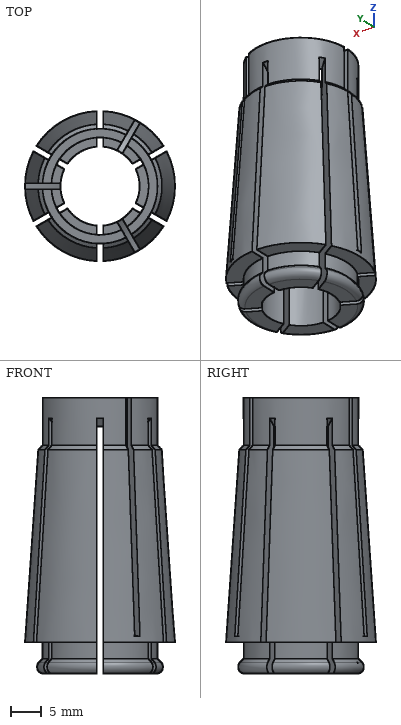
import cadquery as cq
import math

TOTAL_HEIGHT = 45.1
CONE_BASE_Z = 5.1
SHOULDER_Z = 37.3
BORE_STEP_Z = 35.6

BORE_RADIUS = 6.45
COUNTERBORE_RADIUS = 7.95
NECK_RADIUS = 9.4
CONE_BASE_RADIUS = 12.28
CONE_TOP_RADIUS = 10.12
CONE_TOP_Z = SHOULDER_Z - (CONE_TOP_RADIUS - NECK_RADIUS)

BEAD_RADIUS = 10.3
BEAD_ROUND = 1.1
BEAD_CENTER_RADIUS = BEAD_RADIUS - BEAD_ROUND

SLOT_WIDTH = 1.0
CUTTER_RADIUS = 9.65
OVERSHOOT = 0.5
SLOT_INNER_RADIUS = BORE_RADIUS - OVERSHOOT
SLOT_OUTER_RADIUS = CONE_BASE_RADIUS + OVERSHOOT

LOWER_SLOT_COUNT = 6
LOWER_SLOT_START_ANGLE = 30.0
LOWER_SLOT_END_Z = 41.7
LOWER_CUTTER_CENTER = 15.2

UPPER_SLOT_COUNT = 3
UPPER_SLOT_START_ANGLE = 60.0
UPPER_SLOT_END_Z = 6.1
UPPER_CUTTER_CENTER = CONE_BASE_RADIUS


def make_body():
    """Revolve the wall section: bead, neck, cone, shoulder, neck and stepped bore."""
    diagonal = BEAD_ROUND * math.sqrt(0.5)
    bead_top_radius = BEAD_CENTER_RADIUS + diagonal
    bead_top_z = BEAD_ROUND + diagonal
    bead_foot_z = bead_top_z + bead_top_radius - NECK_RADIUS
    mid_angle = math.radians(-22.5)
    bead_mid = (
        BEAD_CENTER_RADIUS + BEAD_ROUND * math.cos(mid_angle),
        BEAD_ROUND + BEAD_ROUND * math.sin(mid_angle),
    )
    section = (
        cq.Workplane("XZ")
        .moveTo(BORE_RADIUS, 0)
        .lineTo(BEAD_CENTER_RADIUS, 0)
        .threePointArc(bead_mid, (bead_top_radius, bead_top_z))
        .lineTo(NECK_RADIUS, bead_foot_z)
        .lineTo(NECK_RADIUS, CONE_BASE_Z)
        .lineTo(CONE_BASE_RADIUS, CONE_BASE_Z)
        .lineTo(CONE_TOP_RADIUS, CONE_TOP_Z)
        .lineTo(NECK_RADIUS, SHOULDER_Z)
        .lineTo(NECK_RADIUS, TOTAL_HEIGHT)
        .lineTo(COUNTERBORE_RADIUS, TOTAL_HEIGHT)
        .lineTo(COUNTERBORE_RADIUS, BORE_STEP_Z)
        .lineTo(BORE_RADIUS, BORE_STEP_Z)
        .close()
    )
    return section.revolve(360, (0, 0, 0), (0, 1, 0))


def make_slot(open_z, end_z, end_radius, cutter_center):
    """Radial slot along +X, open at open_z, whose arc end passes height end_z at end_radius."""
    direction = 1 if end_z > open_z else -1

    def arc_height(radius):
        return direction * math.sqrt(CUTTER_RADIUS**2 - (cutter_center - radius) ** 2)

    center_z = end_z - arc_height(end_radius)
    middle_radius = (SLOT_INNER_RADIUS + SLOT_OUTER_RADIUS) / 2
    outline = (
        cq.Workplane("XZ")
        .moveTo(SLOT_INNER_RADIUS, open_z)
        .lineTo(SLOT_INNER_RADIUS, center_z + arc_height(SLOT_INNER_RADIUS))
        .threePointArc(
            (middle_radius, center_z + arc_height(middle_radius)),
            (SLOT_OUTER_RADIUS, center_z + arc_height(SLOT_OUTER_RADIUS)),
        )
        .lineTo(SLOT_OUTER_RADIUS, open_z)
        .close()
    )
    return outline.extrude(SLOT_WIDTH / 2, both=True)


def cut_around(body, slot, count, start_angle):
    """Cut copies of the slot at equal angles about the axis."""
    for index in range(count):
        angle = start_angle + index * 360 / count
        body = body.cut(slot.rotate((0, 0, 0), (0, 0, 1), angle))
    return body


lower_slot = make_slot(-OVERSHOOT, LOWER_SLOT_END_Z, NECK_RADIUS, LOWER_CUTTER_CENTER)
upper_slot = make_slot(TOTAL_HEIGHT + OVERSHOOT, UPPER_SLOT_END_Z, CONE_BASE_RADIUS, UPPER_CUTTER_CENTER)

result = make_body()
result = cut_around(result, lower_slot, LOWER_SLOT_COUNT, LOWER_SLOT_START_ANGLE)
result = cut_around(result, upper_slot, UPPER_SLOT_COUNT, UPPER_SLOT_START_ANGLE)